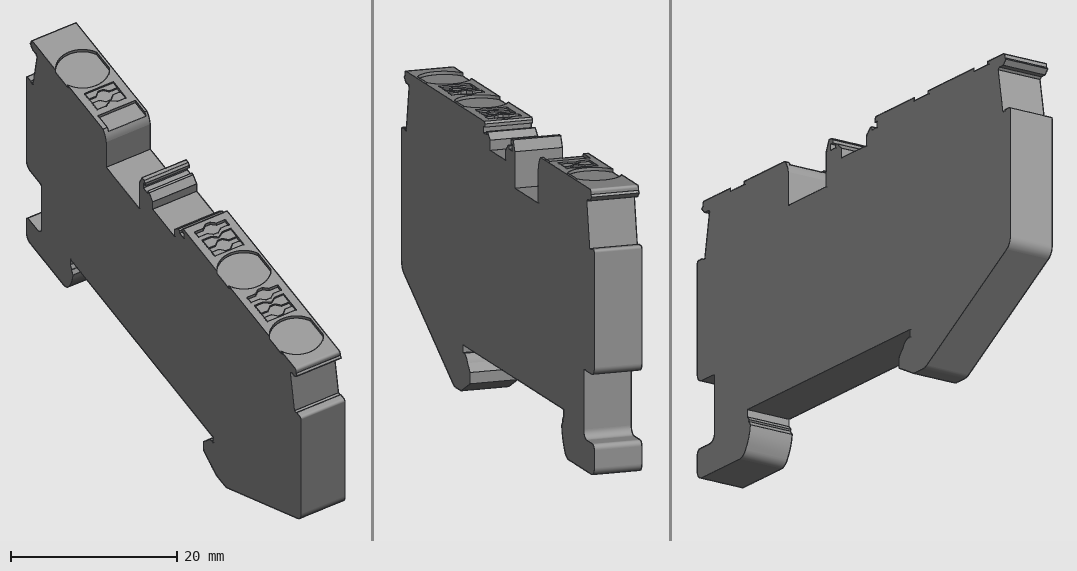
import cadquery as cq
import math

LENGTH = 66.5
THICKNESS = 6.1
HEIGHT = 35.25

SHOULDER_Z = HEIGHT - 7.25
SHOULDER_STEP = 0.1
SHOULDER_WIDTH = 1.05
NECK_BOTTOM_X = 1.6
NECK_TOP_X = 2.6
NECK_CORNER = 0.25
LIP_UNDERSIDE_Z = HEIGHT - 1.45
END_CORNER_RADIUS = 0.3
LIP_EDGE_X = 1.2
LIP_EDGE_BOTTOM_Z = HEIGHT - 0.6
LIP_NOSE_X = 0.9
LIP_BEVEL = 0.6

SLOT_LEFT = 19.35
SLOT_RIGHT = 27.4
SLOT_FLOOR_Z = HEIGHT - 5.85
SLOT_ROUND_WIDTH = 0.8
SLOT_ROUND_DEPTH = 1.6
SLOT_ROUND_RADIUS = 2.65
SLOT_BEVEL_WIDTH = 0.6
SLOT_BEVEL_DEPTH = 1.3

SEAT_HALF_WIDTH = 2.65
SEAT_FLOOR_Z = HEIGHT - 3.1
GROOVE_FLOOR_Z = HEIGHT - 1.45
GROOVE_OUTER = 4.9
GROOVE_INNER = 3.85
NOSE_TIP = 4.45
NOSE_UNDERSIDE_Z = HEIGHT - 0.65
NOSE_CORNER = 0.25
BUMP_TOP_Z = HEIGHT - 1.05
BUMP_WIDTH = 0.3
BUMP_BEVEL_END_Z = HEIGHT - 1.85

NOTCH_TOP_Z = 12.45
NOTCH_DEPTH = 3.65
NOTCH_TOP_ROUND = 1.0
NOTCH_INNER_ROUND = 0.25
FOOT_TOP_Z = 3.85
FOOT_TOP_RADIUS = 0.65
FOOT_BOTTOM_RADIUS = 1.0
FOOT_INNER_RADIUS = 1.05

RAIL_LEFT = 10.65
RAIL_RIGHT = 45.2
RAIL_TOP_Z = 5.85
RAIL_SIDE_Z = 4.9

LEFT_HOOK_POINTS = [(11.05, 4.45), (10.9, 4.25), (11.3, 3.7)]
LEFT_HOOK_SIDE_END = (10.25, 0.8)
LEFT_HOOK_SIDE_RADIUS = 6.6
LEFT_HOOK_BASE_END = (9.05, 0)
LEFT_HOOK_BASE_RADIUS = 1.6

RIGHT_HOOK_POINTS = [(45.95, 0), (42.8, 1.6), (42.8, 3.0), (43.7, 3.9)]
RIGHT_HOOK_ARC_END = (44.8, RAIL_SIDE_Z)
RIGHT_HOOK_ARC_RADIUS = 1.8

SLOPE_ANGLE = 30.0
SLOPE_START_X = 48.35
SLOPE_CORNER_RADIUS = 1.65

RECESS_DEPTH = 0.4
RECESS_BACK_Y = 5.8
DISC_RADIUS = 3.25
DISC_CENTER_Y = 2.9
LEFT_DISC_X = 8.5
RIGHT_DISCS_X = (47.55, 60.25)
LABEL_LEFT = 16.3
LABEL_FRONT_Y = 0.6

CONTACT_HALF_WIDTH = 1.0
CONTACT_SHOULDER = 0.9
CONTACT_FLAT = 0.3
SINGLE_OFFSET = 8.0
SINGLE_STEM = 0.5
SINGLE_HALF_LENGTH = 2.1
PAIRED_OFFSET = 5.05
PAIRED_STEM = 0.4
PAIRED_HALF_LENGTH = 2.0
FRAME_NEAR = 3.7
FRAME_FAR = 6.85
FRAME_DEPTH = 0.2
WAIST_INSET = 0.5
WAIST_HALF_LENGTH = 0.8


def mirrored(points):
    """Reflect points about the middle of the length and reverse their order."""
    return [(LENGTH - x, z) for x, z in reversed(points)]


def end_points():
    """Left end from the shoulder corner up to the top edge."""
    return [
        (0, SHOULDER_Z),
        (SHOULDER_WIDTH, SHOULDER_Z),
        (SHOULDER_WIDTH + SHOULDER_STEP, SHOULDER_Z - SHOULDER_STEP),
        (NECK_BOTTOM_X, SHOULDER_Z - SHOULDER_STEP),
        (NECK_TOP_X, LIP_UNDERSIDE_Z - NECK_CORNER),
        (NECK_TOP_X - NECK_CORNER, LIP_UNDERSIDE_Z),
        (LIP_NOSE_X + LIP_BEVEL, LIP_UNDERSIDE_Z),
        (LIP_NOSE_X, LIP_UNDERSIDE_Z + LIP_BEVEL),
        (LIP_EDGE_X, LIP_EDGE_BOTTOM_Z),
        (LIP_EDGE_X, HEIGHT),
    ]


def seat_points():
    """Left half of the seat, from its retaining nose down to its floor."""
    middle = LENGTH / 2
    return [
        (middle - NOSE_TIP - NOSE_CORNER, HEIGHT),
        (middle - NOSE_TIP, HEIGHT - NOSE_CORNER),
        (middle - NOSE_TIP, NOSE_UNDERSIDE_Z),
        (middle - GROOVE_OUTER, NOSE_UNDERSIDE_Z),
        (middle - GROOVE_OUTER, GROOVE_FLOOR_Z),
        (middle - GROOVE_INNER, GROOVE_FLOOR_Z),
        (middle - GROOVE_INNER, BUMP_TOP_Z),
        (middle - GROOVE_INNER + BUMP_WIDTH, BUMP_TOP_Z),
        (middle - SEAT_HALF_WIDTH, BUMP_BEVEL_END_Z),
        (middle - SEAT_HALF_WIDTH, SEAT_FLOOR_Z),
    ]


def draw_points(sketch, points):
    """Continue an outline with straight lines through the points."""
    for x, z in points:
        sketch = sketch.lineTo(x, z)
    return sketch


def body():
    """Plate with the full side outline, before the top recesses."""
    slope_end_z = (LENGTH - SLOPE_START_X) * math.tan(math.radians(SLOPE_ANGLE))
    left_end = end_points()

    outline = cq.Workplane("XZ").moveTo(*left_end[0])
    outline = draw_points(outline, left_end[1:])
    outline = (
        outline.lineTo(SLOT_LEFT - SLOT_ROUND_WIDTH, HEIGHT)
        .radiusArc((SLOT_LEFT, HEIGHT - SLOT_ROUND_DEPTH), SLOT_ROUND_RADIUS)
        .lineTo(SLOT_LEFT, SLOT_FLOOR_Z)
        .lineTo(SLOT_RIGHT, SLOT_FLOOR_Z)
        .lineTo(SLOT_RIGHT, HEIGHT - SLOT_BEVEL_DEPTH)
        .lineTo(SLOT_RIGHT + SLOT_BEVEL_WIDTH, HEIGHT)
    )
    outline = draw_points(outline, seat_points())
    outline = draw_points(outline, mirrored(seat_points()))
    outline = draw_points(outline, mirrored(left_end))

    outline = outline.lineTo(LENGTH, slope_end_z).lineTo(SLOPE_START_X, 0)
    outline = draw_points(outline, RIGHT_HOOK_POINTS)
    outline = (
        outline.radiusArc(RIGHT_HOOK_ARC_END, RIGHT_HOOK_ARC_RADIUS)
        .lineTo(RAIL_RIGHT, RAIL_SIDE_Z)
        .lineTo(RAIL_RIGHT, RAIL_TOP_Z)
        .lineTo(RAIL_LEFT, RAIL_TOP_Z)
        .lineTo(RAIL_LEFT, RAIL_SIDE_Z)
    )

    outline = draw_points(outline, LEFT_HOOK_POINTS)
    outline = (
        outline.radiusArc(LEFT_HOOK_SIDE_END, LEFT_HOOK_SIDE_RADIUS)
        .radiusArc(LEFT_HOOK_BASE_END, LEFT_HOOK_BASE_RADIUS)
        .lineTo(0, 0)
        .lineTo(0, FOOT_TOP_Z)
        .lineTo(NOTCH_DEPTH, FOOT_TOP_Z)
        .lineTo(NOTCH_DEPTH, NOTCH_TOP_Z)
        .lineTo(0, NOTCH_TOP_Z)
        .close()
    )
    solid = outline.extrude(-THICKNESS)

    rounded_corners = (
        (0, SHOULDER_Z, END_CORNER_RADIUS),
        (LENGTH, SHOULDER_Z, END_CORNER_RADIUS),
        (LIP_EDGE_X, HEIGHT, END_CORNER_RADIUS),
        (LENGTH - LIP_EDGE_X, HEIGHT, END_CORNER_RADIUS),
        (0, 0, FOOT_BOTTOM_RADIUS),
        (0, FOOT_TOP_Z, FOOT_TOP_RADIUS),
        (NOTCH_DEPTH, FOOT_TOP_Z, FOOT_INNER_RADIUS),
        (0, NOTCH_TOP_Z, NOTCH_TOP_ROUND),
        (NOTCH_DEPTH, NOTCH_TOP_Z, NOTCH_INNER_ROUND),
        (LENGTH, slope_end_z, SLOPE_CORNER_RADIUS),
        (SLOPE_START_X, 0, SLOPE_CORNER_RADIUS),
    )
    for x, z, radius in rounded_corners:
        corner = cq.selectors.NearestToPointSelector((x, THICKNESS / 2, z))
        solid = solid.edges("|Y").edges(corner).fillet(radius)
    return solid


def recess_block(left, right, front):
    """Block as deep as the recesses, reaching from front to the back wall."""
    corner = cq.Workplane("XY", origin=(left, front, HEIGHT - RECESS_DEPTH))
    return corner.box(right - left, RECESS_BACK_Y - front, RECESS_DEPTH, centered=False)


def disc_recess(center_x):
    """Round recess cut off flat by the back wall and open through the front face."""
    disc = (
        cq.Workplane("XY", origin=(center_x, DISC_CENTER_Y, HEIGHT - RECESS_DEPTH))
        .circle(DISC_RADIUS)
        .extrude(RECESS_DEPTH)
    )
    return disc.intersect(recess_block(center_x - DISC_RADIUS, center_x + DISC_RADIUS, 0))


def top_pocket(points, depth):
    """Cutter for a pocket in the top face; y is measured from mid-thickness."""
    floor = cq.Workplane("XY", origin=(0, THICKNESS / 2, HEIGHT - depth))
    return floor.polyline(points).close().extrude(depth)


def contact_recess(center_x, stem, half_length):
    """Straight stem that widens to a blunt hexagon at its middle."""
    quarter = [
        (stem, half_length),
        (stem, CONTACT_SHOULDER),
        (CONTACT_HALF_WIDTH, CONTACT_FLAT),
    ]
    right = quarter + [(x, -y) for x, y in reversed(quarter)]
    left = [(-x, y) for x, y in reversed(right)]
    return top_pocket([(center_x + x, y) for x, y in right + left], RECESS_DEPTH)


def framed_contact_recess(disc_x, side):
    """Deep contact shape inside a shallow frame; side is +1 right or -1 left of the disc."""
    near = disc_x + side * FRAME_NEAR
    far = disc_x + side * FRAME_FAR
    frame = [
        (near, PAIRED_HALF_LENGTH),
        (far, PAIRED_HALF_LENGTH),
        (far, WAIST_HALF_LENGTH),
        (far - side * WAIST_INSET, 0),
        (far, -WAIST_HALF_LENGTH),
        (far, -PAIRED_HALF_LENGTH),
        (near, -PAIRED_HALF_LENGTH),
    ]
    contact = contact_recess(disc_x + side * PAIRED_OFFSET, PAIRED_STEM, PAIRED_HALF_LENGTH)
    return top_pocket(frame, FRAME_DEPTH).union(contact)


result = body()
result = result.cut(recess_block(LABEL_LEFT, SLOT_LEFT, LABEL_FRONT_Y))
result = result.cut(disc_recess(LEFT_DISC_X))
result = result.cut(framed_contact_recess(LEFT_DISC_X, 1))
for right_disc_x in RIGHT_DISCS_X:
    result = result.cut(disc_recess(right_disc_x))
    result = result.cut(framed_contact_recess(right_disc_x, -1))
    result = result.cut(contact_recess(right_disc_x - SINGLE_OFFSET, SINGLE_STEM, SINGLE_HALF_LENGTH))